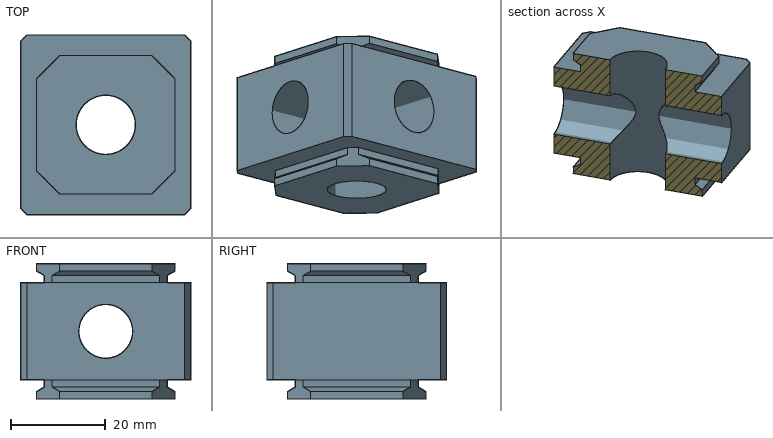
import cadquery as cq

block_x = 36.0
block_y = 38.0
block_z = 20.52
block_chamfer = 1.33

total_height = 28.6
flange_width = 29.25
flange_corner_cut = 4.9
flange_rim = 1.6
neck_width = 26.0
taper_height = 0.95
neck_height = (total_height - block_z) / 2 - flange_rim - taper_height

vertical_bore = 12.45
side_bore = 11.32


def make_block():
    """Rectangular block with its four vertical edges chamfered."""
    return cq.Workplane("XY").box(block_x, block_y, block_z).edges("|Z").chamfer(block_chamfer)


def make_flange():
    """Upper flange: neck, outward taper and rim, with all corners cut by shared vertical planes."""
    neck = (
        cq.Workplane("XY", origin=(0, 0, block_z / 2))
        .rect(neck_width, neck_width)
        .extrude(neck_height)
    )
    taper = (
        neck.faces(">Z").workplane()
        .rect(neck_width, neck_width)
        .workplane(offset=taper_height)
        .rect(flange_width, flange_width)
        .loft(combine=False)
    )
    rim = taper.faces(">Z").workplane().rect(flange_width, flange_width).extrude(flange_rim, combine=False)
    corner_limit = (
        cq.Workplane("XY")
        .box(flange_width, flange_width, total_height)
        .edges("|Z")
        .chamfer(flange_corner_cut)
    )
    return neck.union(taper).union(rim).intersect(corner_limit)


upper_flange = make_flange()
lower_flange = upper_flange.mirror("XY")
body = make_block().union(upper_flange).union(lower_flange)

vertical_cut = cq.Workplane("XY").circle(vertical_bore / 2).extrude(total_height / 2, both=True)
through_cut = cq.Workplane("XZ").circle(side_bore / 2).extrude(block_y / 2, both=True)
side_cut = cq.Workplane("YZ").circle(side_bore / 2).extrude(-block_x / 2)

result = body.cut(vertical_cut).cut(through_cut).cut(side_cut)